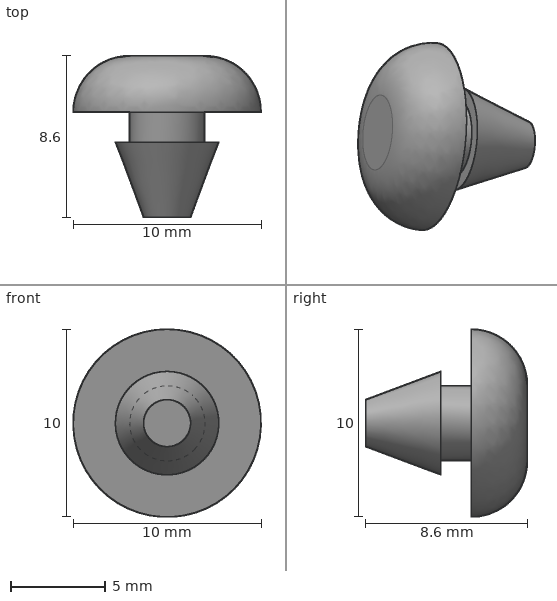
import cadquery as cq
import math

head_radius = 5.0
head_height = 3.0
dome_radius = head_height
neck_radius = 2.0
neck_length = 1.6
barb_radius = 2.75
tip_radius = 1.25
barb_length = 4.0

crown_radius = head_radius - dome_radius
barb_start = -neck_length
tip_end = barb_start - barb_length

rim_mid_y = dome_radius * math.sin(math.radians(45))
rim_mid_z = crown_radius + dome_radius * math.cos(math.radians(45))

half_section = (
    cq.Workplane("YZ")
    .moveTo(tip_end, 0)
    .lineTo(tip_end, tip_radius)
    .lineTo(barb_start, barb_radius)
    .lineTo(barb_start, neck_radius)
    .lineTo(0, neck_radius)
    .lineTo(0, head_radius)
    .threePointArc((rim_mid_y, rim_mid_z), (head_height, crown_radius))
    .lineTo(head_height, 0)
    .close()
)

result = half_section.revolve(360, (0, 0, 0), (1, 0, 0))